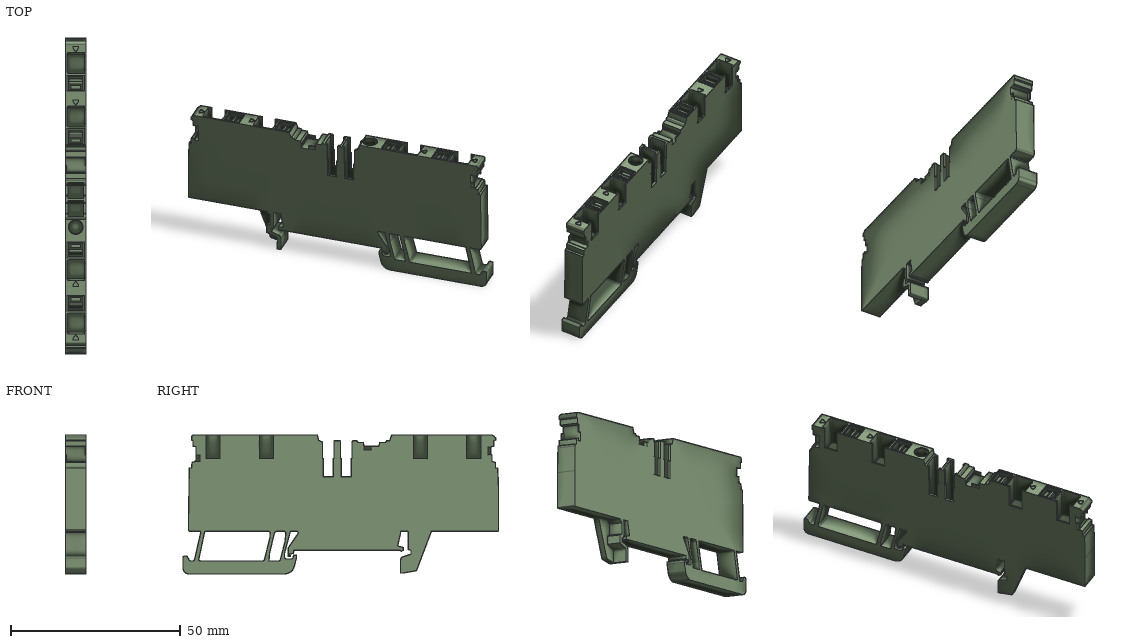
import cadquery as cq
import math


WIDTH = 6.1
TOP_Z = 41.1
BODY_HALF = 45.85
BODY_BOTTOM_Z = 12.59
SHOULDER_Z = 31.36
SHOULDER_HALF = 45.58
SEAT_Z = 7.0
OVERALL_LENGTH = 93.29
FOOT_END_Y = BODY_HALF - OVERALL_LENGTH
FOOT_FLOOR_Z = 3.9
WINDOW_RADIUS = 0.5
HOOK_END_Y = -13.8
LEG_JOIN = 0.5

SHELF_Z = 38.9
RIDGE_Z = 39.4
MARKER_Z = 37.76
MARKER_Y = (6.1, 10.4)
TAB_WALL = 0.35

SLOT_Y = (0.83, -4.49)
SLOT_FLOOR_Z = 28.8
SLOT_STEP_Z = 34.16
SLOT_LOWER_WIDTH = 2.82
SLOT_UPPER_WIDTH = 3.34
FINGER_RADIUS = 0.25
CHAMBER_WIDTH = 4.7
CHAMBER_FLOOR_Z = 22.0
CHAMBER_SHOULDER_Z = 22.6
CHAMBER_WALL = 0.7

CONTACTS_PER_SIDE = 2
CONTACT_PITCH = 15.77
ENTRY_Y = (35.4, 41.6)
ENTRY_WALL = 0.45
ENTRY_DEPTH = 9.0
ENTRY_DRAFT = 0.65
ENTRY_RADIUS = 0.7
ENTRY_WINDOW_DEPTH = 7.0
ENTRY_WINDOW_STUB = 1.0
PIT_Y = (30.15, 34.85)
PIT_WALL = 0.5
PIT_DEPTH = 4.0
PIT_LEDGE = 0.35
PIT_LEDGE_DEPTH = 0.3
PUSHER_WIDTH = 4.0
PUSHER_Y = (2.2, 2.9)
PUSHER_TOE_Y = 3.7
PUSHER_DROP = 1.0
BLADE_WIDTH = 2.8
BLADE_Y = (0.7, 1.7)
BLADE_DROP = 1.2

ARROW_Y = (41.75, 43.35)
ARROW_SHANK = 0.5
ARROW_HALF_WIDTH = 0.8
ARROW_DEPTH = 0.2

TEST_HOLE_Y = -10.0
TEST_HOLE_DIAMETER = 4.3
TEST_HOLE_DEPTH = 6.0
TEST_HOLE_CHAMFER = 0.2

WEB_INSET = 4.4


def unit(start, end):
    """Distance and direction from one point to another."""
    length = math.dist(start, end)
    return length, ((end[0] - start[0]) / length, (end[1] - start[1]) / length)


def plate(corners, x_min=0.0, x_max=WIDTH):
    """Plate between two X positions; a corner is (y, z) or (y, z, radius)."""
    segments = []
    for index, corner in enumerate(corners):
        here = corner[:2]
        if len(corner) == 2:
            segments.append((here,))
            continue
        radius = corner[2]
        before = unit(here, corners[index - 1][:2])[1]
        after = unit(here, corners[(index + 1) % len(corners)][:2])[1]
        half_angle = math.acos(before[0] * after[0] + before[1] * after[1]) / 2
        setback = radius / math.tan(half_angle)
        start = tuple(here[i] + setback * before[i] for i in (0, 1))
        end = tuple(here[i] + setback * after[i] for i in (0, 1))
        bisector = unit((0, 0), (before[0] + after[0], before[1] + after[1]))[1]
        reach = radius / math.sin(half_angle) - radius
        middle = tuple(here[i] + reach * bisector[i] for i in (0, 1))
        segments.append((start, middle, end))

    sketch = cq.Workplane("YZ", origin=(x_min, 0, 0)).moveTo(*segments[0][-1])
    for segment in segments[1:] + segments[:1]:
        sketch = sketch.lineTo(*segment[0])
        if len(segment) == 3:
            sketch = sketch.threePointArc(segment[1], segment[2])
    return sketch.close().extrude(x_max - x_min)


def box(x_range, y_range, z_range):
    """Box from its lower and upper limits on each axis."""
    low, high = zip(x_range, y_range, z_range)
    size = [high[i] - low[i] for i in range(3)]
    return cq.Workplane("XY").box(*size, centered=False).translate(low)


def span(center, width):
    """Lower and upper limit of a width centred on a position."""
    return (center - width / 2, center + width / 2)


def make_body():
    """Housing outline from the +Y end, over the top, to the -Y end."""
    slot_1_start, slot_1_end = span(SLOT_Y[0], SLOT_UPPER_WIDTH)
    slot_2_start, slot_2_end = span(SLOT_Y[1], SLOT_UPPER_WIDTH)
    positive_end = [
        (BODY_HALF, BODY_BOTTOM_Z, 0.3),
        (BODY_HALF, 27.0, 120.0),
        (SHOULDER_HALF, SHOULDER_Z),
        (44.95, SHOULDER_Z),
        (44.95, 33.0),
        (43.9, 33.3),
        (43.9, 35.2),
        (43.57, 35.3),
        (43.57, 37.5),
        (44.41, 37.76),
        (44.41, 39.3),
        (45.05, 39.6, 0.2),
        (45.05, 40.2, 0.3),
        (44.0, TOP_Z, 0.3),
    ]
    marker_section = [
        (14.25, TOP_Z),
        (13.6, RIDGE_Z),
        (12.75, RIDGE_Z, 0.2),
        (12.4, SHELF_Z),
        (MARKER_Y[1] + 0.35, SHELF_Z),
        (MARKER_Y[1], MARKER_Z),
        (MARKER_Y[0], MARKER_Z, 0.2),
        (MARKER_Y[0] - 0.2, SHELF_Z),
        (4.3, SHELF_Z),
        (3.95, RIDGE_Z, 0.2),
        (slot_1_end, RIDGE_Z, 0.5),
        (slot_1_end, SLOT_STEP_Z),
        (slot_1_start, SLOT_STEP_Z),
        (slot_1_start, RIDGE_Z, FINGER_RADIUS),
        (slot_2_end, RIDGE_Z, FINGER_RADIUS),
        (slot_2_end, SLOT_STEP_Z),
        (slot_2_start, SLOT_STEP_Z),
        (slot_2_start, 39.0),
        (-7.3, 39.5),
        (-7.7, TOP_Z),
    ]
    negative_end = [
        (-44.83, TOP_Z, 0.6),
        (-44.83, 39.6),
        (-44.48, 39.3),
        (-44.48, 37.76),
        (-43.6, 37.6),
        (-43.6, 33.7),
        (-43.95, 33.2),
        (-44.76, 33.0),
        (-44.9, SHOULDER_Z),
        (-SHOULDER_HALF, SHOULDER_Z),
        (-BODY_HALF, BODY_BOTTOM_Z, 0.6),
    ]
    return plate(positive_end + marker_section + negative_end)


def make_rail_seat():
    """Block under the housing that rests on the rail, with a lip at each end."""
    overlap_z = BODY_BOTTOM_Z + LEG_JOIN
    return plate([
        (16.9, overlap_z),
        (16.9, 12.0),
        (16.02, 8.3, 0.3),
        (17.68, 7.87),
        (17.68, SEAT_Z),
        (17.1, 6.7),
        (16.7, SEAT_Z),
        (-14.6, SEAT_Z),
        (-14.75, 6.1),
        (-15.9, 5.85),
        (-15.6, 5.2),
        (-16.34, 5.2),
        (-16.34, 7.7, 0.8),
        (-13.3, 12.2, 0.4),
        (-13.6, BODY_BOTTOM_Z),
        (-13.6, overlap_z),
    ])


def make_latch_foot():
    """Fixed foot: a bent rib of full width, backed by a set-back web."""
    overlap_z = BODY_BOTTOM_Z + LEG_JOIN
    rail_face = [
        (16.85, 0.25, 0.2),
        (16.85, 4.9, 1.0),
        (19.9, 5.87),
        (19.9, 7.0),
        (19.12, 7.24),
        (19.12, BODY_BOTTOM_Z - 0.1),
        (18.7, overlap_z),
    ]
    rib_back = [
        (21.8, overlap_z),
        (20.25, 11.5),
        (20.25, 8.2),
        (21.3, 7.7),
        (21.3, 5.35),
        (17.96, 4.1, 0.5),
        (18.1, 0.25),
    ]
    web_back = [
        (26.2, overlap_z),
        (21.6, 0.95, 0.7),
        (18.1, 0.35),
    ]
    rib = plate(rail_face + rib_back)
    web = plate(rail_face + web_back, x_min=WEB_INSET)
    return rib.union(web)


def make_rail_foot():
    """Sprung foot bar hung below the housing on three slanting legs."""
    overlap_z = BODY_BOTTOM_Z + LEG_JOIN
    frame = plate([
        (-15.3, overlap_z),
        (-15.7, 12.4),
        (-17.4, 6.1),
        (-17.4, 4.5, 0.4),
        (-14.95, 4.5, 0.5),
        (-14.75, 5.6),
        (HOOK_END_Y, 5.6),
        (HOOK_END_Y, 4.9),
        (-15.1, 0, 3.0),
        (FOOT_END_Y, 0, 1.8),
        (FOOT_END_Y, 5.35, 0.55),
        (-46.25, 5.35, 0.5),
        (-45.4, FOOT_FLOOR_Z, 0.3),
        (-44.1, FOOT_FLOOR_Z, 0.4),
        (-42.2, 12.2),
        (-42.6, overlap_z),
    ])
    small_window = plate([
        (-16.97, BODY_BOTTOM_Z, WINDOW_RADIUS),
        (-20.25, BODY_BOTTOM_Z, 0.8),
        (-21.8, 6.1),
        (-21.97, FOOT_FLOOR_Z),
        (-18.75, FOOT_FLOOR_Z, 0.4),
        (-17.3, 9.6),
    ])
    large_window = plate([
        (-21.65, BODY_BOTTOM_Z, WINDOW_RADIUS),
        (-40.95, BODY_BOTTOM_Z, WINDOW_RADIUS),
        (-42.8, FOOT_FLOOR_Z, 0.4),
        (-23.45, FOOT_FLOOR_Z, 0.4),
        (-21.75, 10.8),
    ])
    return frame.cut(small_window).cut(large_window)


def make_bridge_slot(center_y):
    """Narrow lower part of a slot, plus the wider and deeper chamber inside."""
    slot_y = span(center_y, SLOT_LOWER_WIDTH)
    lower = box((0, WIDTH), slot_y, (SLOT_FLOOR_Z, SLOT_STEP_Z))
    start, end = span(center_y, CHAMBER_WIDTH)
    chamber = plate(
        [
            (start, CHAMBER_FLOOR_Z),
            (slot_y[1], CHAMBER_FLOOR_Z),
            (end, CHAMBER_SHOULDER_Z),
            (end, TOP_Z),
            (start, TOP_Z),
        ],
        CHAMBER_WALL,
        WIDTH - CHAMBER_WALL,
    )
    return lower.union(chamber)


def make_wire_entry():
    """Shaft with a leaning outer wall and a window in the +X side."""
    inner, outer = ENTRY_Y
    floor_z = TOP_Z - ENTRY_DEPTH
    shaft = plate(
        [(inner, TOP_Z), (inner, floor_z), (outer - ENTRY_DRAFT, floor_z), (outer, TOP_Z)],
        ENTRY_WALL,
        WIDTH - ENTRY_WALL,
    )
    shaft = shaft.edges("<X and (not #Z)").fillet(ENTRY_RADIUS)
    window = box(
        (WIDTH / 2, WIDTH),
        (inner + ENTRY_WINDOW_STUB, outer - ENTRY_WINDOW_STUB),
        (TOP_Z - ENTRY_WINDOW_DEPTH, TOP_Z),
    )
    return shaft.union(window)


def make_release_pit():
    """Pit with a stepped mouth; the pusher and blade inside it stay solid."""
    inner, outer = PIT_Y
    floor_z = TOP_Z - PIT_DEPTH
    mouth = box((PIT_WALL, WIDTH - PIT_WALL), PIT_Y, (TOP_Z - PIT_LEDGE_DEPTH, TOP_Z))
    side_wall = PIT_WALL + PIT_LEDGE
    shaft = box(
        (side_wall, WIDTH - side_wall),
        (inner + PIT_LEDGE, outer - PIT_LEDGE),
        (floor_z, TOP_Z),
    )
    crest_start, crest_end = (inner + offset for offset in PUSHER_Y)
    pusher = plate(
        [
            (crest_start, floor_z),
            (crest_start, TOP_Z - PUSHER_DROP),
            (crest_end, TOP_Z - PUSHER_DROP),
            (inner + PUSHER_TOE_Y, floor_z),
        ],
        (WIDTH - PUSHER_WIDTH) / 2,
        (WIDTH + PUSHER_WIDTH) / 2,
    )
    blade = box(
        ((WIDTH - BLADE_WIDTH) / 2, (WIDTH + BLADE_WIDTH) / 2),
        (inner + BLADE_Y[0], inner + BLADE_Y[1]),
        (floor_z, TOP_Z - BLADE_DROP),
    )
    return mouth.union(shaft).cut(pusher).cut(blade)


def make_arrow():
    """Shallow arrow pointing at the wire entry."""
    apex, base = ARROW_Y
    middle = WIDTH / 2
    outline = [
        (middle, apex),
        (middle + ARROW_HALF_WIDTH, base - ARROW_SHANK),
        (middle + ARROW_HALF_WIDTH, base),
        (middle - ARROW_HALF_WIDTH, base),
        (middle - ARROW_HALF_WIDTH, base - ARROW_SHANK),
    ]
    return cq.Workplane("XY", origin=(0, 0, TOP_Z)).polyline(outline).close().extrude(-ARROW_DEPTH)


def cut_contacts(body):
    """Cut two wire stations at each end of the housing."""
    station = make_wire_entry().union(make_release_pit()).union(make_arrow())
    for index in range(CONTACTS_PER_SIDE):
        tool = station.translate((0, -index * CONTACT_PITCH, 0))
        body = body.cut(tool).cut(tool.mirror("XZ"))
    return body


def cut_tab_recesses(body):
    """Deepen the marker and end grooves; each half has a thin wall on one side only."""
    open_near = (0, WIDTH - TAB_WALL)
    open_far = (TAB_WALL, WIDTH)
    marker_z = (36.6, MARKER_Z)
    marker_middle = 8.2
    negative_y = (-43.95, -42.45)
    positive_y = (42.7, 43.9)
    for x_range, y_range, z_range in (
        (open_near, (marker_middle, MARKER_Y[1] + 0.2), marker_z),
        (open_far, (MARKER_Y[0], marker_middle), marker_z),
        (open_near, negative_y, (35.1, 37.7)),
        (open_far, negative_y, (33.3, 35.1)),
        (open_near, positive_y, (32.7, 35.3)),
        (open_far, positive_y, (35.3, 37.5)),
    ):
        body = body.cut(box(x_range, y_range, z_range))
    return body


def cut_test_hole(body):
    """Blind round hole with a chamfered mouth."""
    hole = (
        cq.Workplane("XY", origin=(WIDTH / 2, TEST_HOLE_Y, TOP_Z))
        .circle(TEST_HOLE_DIAMETER / 2 - TEST_HOLE_CHAMFER)
        .extrude(-TEST_HOLE_DEPTH)
    )
    mouth = (
        cq.Workplane("XY", origin=(WIDTH / 2, TEST_HOLE_Y, TOP_Z))
        .circle(TEST_HOLE_DIAMETER / 2)
        .extrude(-TEST_HOLE_CHAMFER, taper=45)
    )
    return body.cut(hole).cut(mouth)


housing = make_body()
for slot_y in SLOT_Y:
    housing = housing.cut(make_bridge_slot(slot_y))
housing = cut_contacts(housing)
housing = cut_tab_recesses(housing)
housing = cut_test_hole(housing)

result = housing.union(make_rail_seat()).union(make_latch_foot()).union(make_rail_foot())